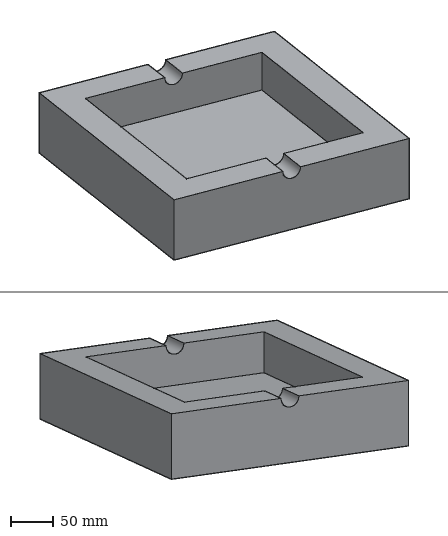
import cadquery as cq

side = 320.0
height = 80.0
wall = 40.0
pocket_depth = 50.0
notch_diameter = 24.0

pocket_side = side - 2 * wall

block = cq.Workplane("XY").box(side, side, height, centered=(True, True, False))

pocket = (
    cq.Workplane("XY")
    .workplane(offset=height - pocket_depth)
    .rect(pocket_side, pocket_side)
    .extrude(pocket_depth)
)

notch = (
    cq.Workplane("YZ")
    .center(0, height)
    .circle(notch_diameter / 2)
    .extrude(side / 2, both=True)
)

result = block.cut(pocket).cut(notch)